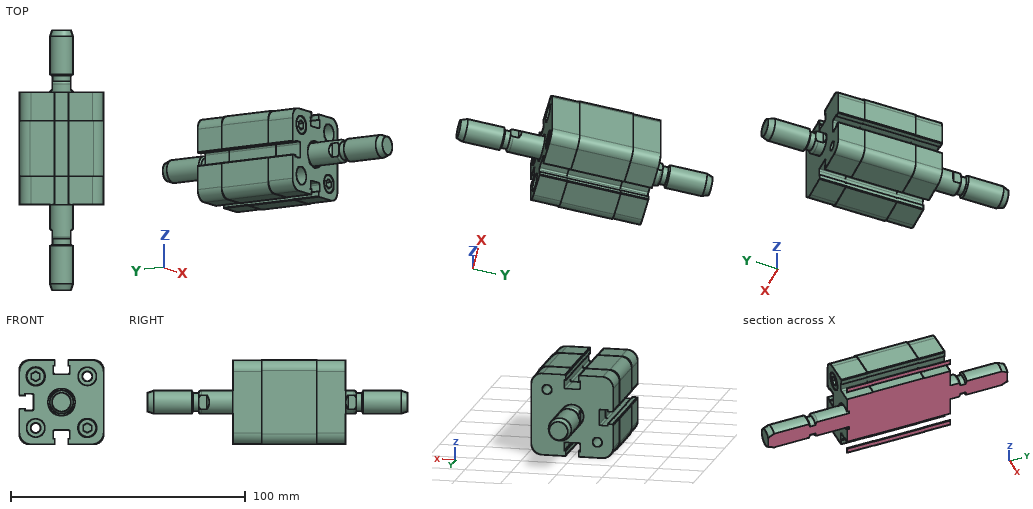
import cadquery as cq
import math


TUBE_WIDTH = 36.1
CAP_WIDTH = 35.85
BODY_LENGTH = 48.0
CAP_LENGTH = 12.2
TUBE_LENGTH = BODY_LENGTH - 2 * CAP_LENGTH
CAP_CORNER_RADIUS = 4.8
TUBE_CORNER_RADIUS = 4.5

SLOT_MOUTH_WIDTH = 5.6
SLOT_MOUTH_CHAMFER = 0.3
SLOT_WIDTH = 7.0
SLOT_LIP_DEPTH = 2.4
SLOT_DEPTH = 6.1
SLOT_CORNER_RADIUS = 0.7
SLOT_ANGLES = (0, 90, 180)

HOLE_OFFSET = 11.0
THROUGH_HOLE_DIAMETER = 4.13
COUNTERBORE_DIAMETER = 7.8
COUNTERBORE_DEPTH = 4.8
SCREW_POCKET_DIAMETER = 8.0
SCREW_POCKET_DEPTH = 4.0
SCREW_HEAD_DIAMETER = 7.5
SCREW_HEAD_RECESS = 0.1
HEX_ACROSS_FLATS = 3.6
HEX_DEPTH = 3.0

ROD_DIAMETER = 10.0
ROD_BORE_DIAMETER = 11.6
ROD_BORE_DEPTH = 1.0
STROKE = 10.0
REAR_ROD_LENGTH = 26.5
FRONT_ROD_LENGTH = REAR_ROD_LENGTH + STROKE

TIP_DIAMETER = 8.0
TIP_CHAMFER_LENGTH = 2.75
NECK_DIAMETER = 7.9
THREAD_LENGTH = 19.5
THREAD_RUNOUT_LENGTH = 0.6
NECK_LENGTH = 2.4
SHOULDER_START = THREAD_LENGTH + NECK_LENGTH
SHOULDER_RADIUS = 1.0
FLAT_END = 25.4
FLATS_ACROSS = 8.0

ROD_RADIUS = ROD_DIAMETER / 2
FLAT_STEP = ROD_RADIUS - FLATS_ACROSS / 2


def front_plane(y):
    """XZ sketch plane at the given Y whose extrusions run towards +Y."""
    return cq.Plane(origin=(0, y, 0), xDir=(-1, 0, 0), normal=(0, 1, 0))


def cylinder(diameter, length, x, y, z):
    """Cylinder along Y that starts at (x, y, z) and runs towards +Y."""
    return cq.Workplane(front_plane(y)).center(-x, z).circle(diameter / 2).extrude(length)


def slot_cutter(y, length, top):
    """T-slot of the given length that opens through a top face at Z = top."""
    undercut_height = SLOT_DEPTH - SLOT_LIP_DEPTH
    undercut = (
        cq.Workplane(front_plane(y))
        .center(0, top - SLOT_DEPTH + undercut_height / 2)
        .rect(SLOT_WIDTH, undercut_height)
        .extrude(length)
        .edges("|Y and <Z")
        .fillet(SLOT_CORNER_RADIUS)
    )
    half_mouth = SLOT_MOUTH_WIDTH / 2
    half_opening = half_mouth + SLOT_MOUTH_CHAMFER
    mouth = (
        cq.Workplane(front_plane(y))
        .moveTo(-half_mouth, top - SLOT_DEPTH)
        .lineTo(-half_mouth, top - SLOT_MOUTH_CHAMFER)
        .lineTo(-half_opening, top)
        .lineTo(half_opening, top)
        .lineTo(half_mouth, top - SLOT_MOUTH_CHAMFER)
        .lineTo(half_mouth, top - SLOT_DEPTH)
        .close()
        .extrude(length)
    )
    return undercut.union(mouth)


def body_section(y, length, width, corner_radius):
    """Square block with rounded corners and T-slots sunk from its own faces."""
    section = cq.Workplane(front_plane(y)).rect(width, width).extrude(length)
    section = section.edges("|Y").fillet(corner_radius)
    slot = slot_cutter(y, length, width / 2)
    for angle in SLOT_ANGLES:
        section = section.cut(slot.rotate((0, 0, 0), (0, 1, 0), -angle))
    return section


def make_body():
    body = body_section(0, CAP_LENGTH, CAP_WIDTH, CAP_CORNER_RADIUS)
    body = body.union(body_section(CAP_LENGTH, TUBE_LENGTH, TUBE_WIDTH, TUBE_CORNER_RADIUS))
    rear_cap_start = CAP_LENGTH + TUBE_LENGTH
    body = body.union(body_section(rear_cap_start, CAP_LENGTH, CAP_WIDTH, CAP_CORNER_RADIUS))
    return body.cut(cylinder(ROD_BORE_DIAMETER, ROD_BORE_DEPTH, 0, 0, 0))


def add_through_hole(body, x, z):
    body = body.cut(cylinder(THROUGH_HOLE_DIAMETER, BODY_LENGTH, x, 0, z))
    return body.cut(cylinder(COUNTERBORE_DIAMETER, COUNTERBORE_DEPTH, x, 0, z))


def add_screw(body, x, z):
    """Socket head screw sunk in its pocket, with the hexagon corners along Z."""
    head_length = SCREW_POCKET_DEPTH - SCREW_HEAD_RECESS
    across_corners = HEX_ACROSS_FLATS / math.cos(math.pi / 6)
    socket = (
        cq.Workplane(front_plane(SCREW_HEAD_RECESS))
        .center(-x, z)
        .transformed(rotate=(0, 0, 90))
        .polygon(6, across_corners)
        .extrude(HEX_DEPTH)
    )
    head = cylinder(SCREW_HEAD_DIAMETER, head_length, x, SCREW_HEAD_RECESS, z).cut(socket)
    pocket = cylinder(SCREW_POCKET_DIAMETER, SCREW_POCKET_DEPTH, x, 0, z)
    return body.cut(pocket).union(head)


def flat_cutter():
    """Wrench flat on the +X side of a rod whose tip is at Y = 0 and points to -Y."""
    return (
        cq.Workplane("XY", origin=(0, 0, -ROD_RADIUS))
        .moveTo(FLATS_ACROSS / 2, SHOULDER_START)
        .lineTo(FLATS_ACROSS / 2, FLAT_END)
        .lineTo(ROD_RADIUS, FLAT_END + FLAT_STEP)
        .lineTo(ROD_RADIUS, SHOULDER_START)
        .close()
        .extrude(ROD_DIAMETER)
    )


def make_rod(length):
    """Rod with its tip at Y = 0, pointing to -Y, and the given length."""
    rod = (
        cq.Workplane("XY")
        .moveTo(0, 0)
        .lineTo(TIP_DIAMETER / 2, 0)
        .lineTo(ROD_RADIUS, TIP_CHAMFER_LENGTH)
        .lineTo(ROD_RADIUS, THREAD_LENGTH - THREAD_RUNOUT_LENGTH)
        .lineTo(NECK_DIAMETER / 2, THREAD_LENGTH)
        .lineTo(NECK_DIAMETER / 2, SHOULDER_START)
        .lineTo(ROD_RADIUS - SHOULDER_RADIUS, SHOULDER_START)
        .radiusArc((ROD_RADIUS, SHOULDER_START + SHOULDER_RADIUS), -SHOULDER_RADIUS)
        .lineTo(ROD_RADIUS, length)
        .lineTo(0, length)
        .close()
        .revolve(360, (0, 0, 0), (0, 1, 0))
    )
    flat = flat_cutter()
    return rod.cut(flat).cut(flat.mirror("YZ"))


def make_cylinder():
    part = make_body()
    for side in (1, -1):
        part = add_through_hole(part, side * HOLE_OFFSET, side * HOLE_OFFSET)
        part = add_screw(part, side * HOLE_OFFSET, -side * HOLE_OFFSET)
    front_rod = make_rod(FRONT_ROD_LENGTH + ROD_BORE_DEPTH).translate((0, -FRONT_ROD_LENGTH, 0))
    rear_rod = make_rod(REAR_ROD_LENGTH + ROD_BORE_DEPTH).mirror("XZ")
    rear_rod = rear_rod.translate((0, BODY_LENGTH + REAR_ROD_LENGTH, 0))
    return part.union(front_rod).union(rear_rod)


result = make_cylinder()